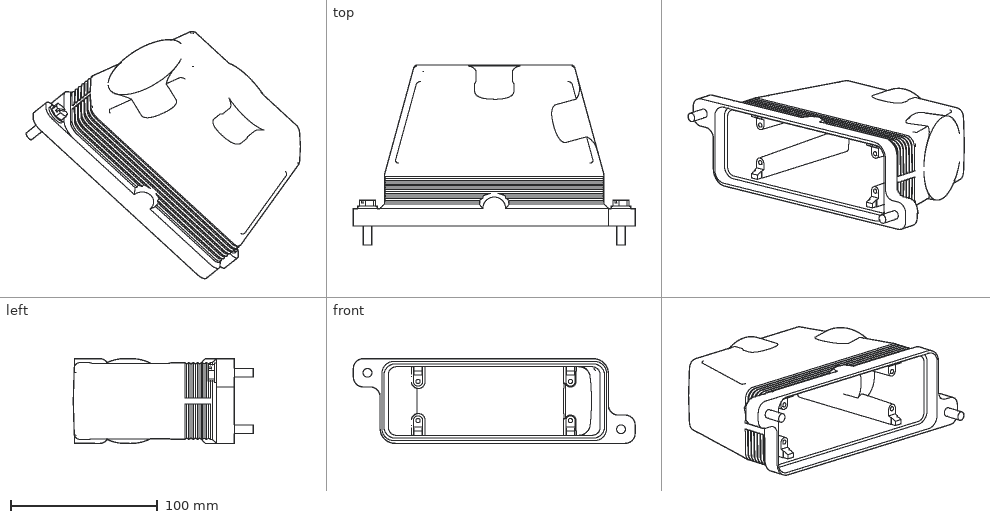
import math

import cadquery as cq

FLANGE_HALF_X = 78.0
FLANGE_HALF_Z = 29.0
FLANGE_THICK = 12.0
FLANGE_CORNER_R = 10.5
EAR_REACH = 96.25
EAR_SIZE = 19.5
EAR_CORNER_R = 7.0
EAR_ROOT_R = 6.5

BODY_HALF_X = 75.0
BODY_HALF_Z = 26.2
BODY_CORNER_R = 7.0
BODY_LENGTH = 110.0
SLOPE_START = 35.0
TOP_HALF_X = 54.5
END_EDGE_R = 4.0
END_CORNER_R = 3.0
SIDE_CROWN = 0.5
END_CROWN = 0.8
PANEL_DEPTH = 0.45
PANEL_START = 43.0
PANEL_END = 98.8
PANEL_STEP_RUN = 1.6

GROOVE_COUNT = 6
GROOVE_FIRST = 17.6
GROOVE_PITCH = 2.98
GROOVE_WIDTH = 2.6
GROOVE_DEPTH = 0.9
STRIP_HALF_Z = 2.2

LOBE_TOP_R = 7.8

ENTRY_R = 29.0
ENTRY_NOSE_LENGTH = 5.3
END_ENTRY_START = 86.5
SIDE_ENTRY_X = 45.6
SIDE_ENTRY_Y = 70.0
PLUG_R = 24.5
PLUG_FACE_X = 48.7
PLUG_FACE_DRAFT = 1.5

RIM_DEPTH = 8.4
RIM_STEPS = ((0.0, 76.6, 27.0), (2.8, 76.2, 26.5), (5.6, 75.8, 25.9), (RIM_DEPTH, 75.3, 25.4))
RIM_CORNER_R = 8.0
CAVITY_HALF_X = 72.4
CAVITY_HALF_Z = 23.4
CAVITY_MOUTH_R = 5.4
CAVITY_BEND_R = 6.4
CAVITY_DEEP_R = 7.2
CAVITY_BEND_Y = 66.0
CAVITY_BEND_X = 64.1
CAVITY_END_Y = 106.8
CAVITY_END_X = 52.7
CAVITY_END_CROWN = 1.8
CAVITY_END_R = 2.0

POST_X = 52.0
POST_Z = 13.35
POST_R = 3.2
POST_FACE_Y = 19.0
POST_DRAFT = 1.1
POST_HOLE_D = 2.9
POST_HOLE_DEPTH = 10.0
LUG_FACE_Y = 13.0
LUG_HALF_X = 2.7
LUG_NARROW_Y = 17.0
LUG_RAMP_START_Z = 17.7
LUG_RAMP_END_Z = 20.4
POST_EMBED_Z = 24.5

SCREW_X = EAR_REACH - EAR_SIZE / 2
SCREW_Z = FLANGE_HALF_Z - EAR_SIZE / 2
SCREW_D = 6.0
SCREW_TIP_Y = -13.0
WASHER_D = 13.5
WASHER_THICK = 1.6
HEX_FLATS = 10.0
HEX_HEIGHT = 4.2
HEX_TURN = 45.0
SLOT_WIDTH = 1.4
SLOT_DEPTH = 2.2

OVERLAP = 1.0
BIG = 200.0
SLOPE = math.atan2(BODY_HALF_X - TOP_HALF_X, BODY_LENGTH - SLOPE_START)


def plane_at(y):
    """Workplane parallel to XZ at height y; a negative extrusion runs toward +Y."""
    return cq.Workplane("XZ", origin=(0, y, 0))


def section(y, half_x, half_z, corner_r, crown=0.0):
    """Rounded rectangle wire at height y whose X sides peak by `crown` at Z = 0."""
    edge_x = half_x - crown
    points = [(edge_x, half_z), (-edge_x, half_z), (-edge_x, -half_z), (edge_x, -half_z)]
    if crown:
        points.insert(2, (-half_x, 0))
        points.append((half_x, 0))
    solid = plane_at(y).polyline(points).close().extrude(-OVERLAP)
    rounded = solid.edges("|Y and (>Z or <Z)").fillet(corner_r)
    return rounded.faces("<Y").wires().val()


def frustum(*sections):
    """Straight-sided solid through the given section wires."""
    return cq.Workplane(cq.Solid.makeLoft(list(sections), True))


def stack(levels, corner_r):
    """Frustums joining successive (y, half_x, half_z) rounded rectangles."""
    wires = [section(y, half_x, half_z, corner_r) for y, half_x, half_z in levels]
    solid = frustum(wires[0], wires[1])
    for lower, upper in zip(wires[1:], wires[2:]):
        solid = solid.union(frustum(lower, upper))
    return solid


def ear():
    """Flange ear at the -X, +Z corner, with its rounded root."""
    root_z = FLANGE_HALF_Z - EAR_SIZE
    plate = (
        plane_at(0)
        .moveTo(-FLANGE_HALF_X + FLANGE_CORNER_R, FLANGE_HALF_Z)
        .lineTo(-EAR_REACH, FLANGE_HALF_Z)
        .lineTo(-EAR_REACH, root_z)
        .lineTo(-FLANGE_HALF_X - EAR_ROOT_R, root_z)
        .radiusArc((-FLANGE_HALF_X, root_z - EAR_ROOT_R), EAR_ROOT_R)
        .lineTo(-FLANGE_HALF_X + FLANGE_CORNER_R, root_z - EAR_ROOT_R)
        .close()
        .extrude(-FLANGE_THICK)
    )
    return plate.edges("|Y and <X").fillet(EAR_CORNER_R)


def flange():
    """Plate with two ears and a bevel leading up to the body."""
    foot = section(0, FLANGE_HALF_X, FLANGE_HALF_Z, FLANGE_CORNER_R)
    top = section(FLANGE_THICK, FLANGE_HALF_X, FLANGE_HALF_Z, FLANGE_CORNER_R)
    bevel_height = FLANGE_HALF_X - BODY_HALF_X
    bevel_top = section(FLANGE_THICK + bevel_height, BODY_HALF_X, BODY_HALF_Z, BODY_CORNER_R)
    plate = frustum(foot, top).union(frustum(top, bevel_top))
    one_ear = ear()
    return plate.union(one_ear).union(one_ear.rotate((0, 0, 0), (0, 1, 0), 180))


def end_prism(half_z, end_y, crown, edge_r):
    """Long prism along X whose +Y end is a shallow roof with rounded edges."""
    prism = (
        cq.Workplane("YZ")
        .polyline([(-OVERLAP, -half_z), (end_y - crown, -half_z), (end_y, 0),
                   (end_y - crown, half_z), (-OVERLAP, half_z)])
        .close()
        .extrude(BIG / 2, both=True)
    )
    return prism.edges("|X and (>Z or <Z) and (not <Y)").fillet(edge_r)


def panel_cutter(side):
    """Shallow recess with sloped ends across the +Z (side=1) or -Z (side=-1) face."""
    floor_z = side * (BODY_HALF_Z - PANEL_DEPTH)
    return (
        cq.Workplane("YZ")
        .polyline([(PANEL_START, side * BODY_HALF_Z), (PANEL_START + PANEL_STEP_RUN, floor_z),
                   (PANEL_END - PANEL_STEP_RUN, floor_z), (PANEL_END, side * BODY_HALF_Z)])
        .close()
        .extrude(BIG / 2, both=True)
    )


def body_section(y, half_x):
    """Crowned outer section of the hood at height y."""
    return section(y, half_x, BODY_HALF_Z, BODY_CORNER_R, SIDE_CROWN)


def body():
    """Solid hood: upright foot, tapering top with a rounded end, recessed Z faces."""
    foot = body_section(FLANGE_THICK / 2, BODY_HALF_X)
    bend = body_section(SLOPE_START, BODY_HALF_X)
    top = body_section(BODY_LENGTH, TOP_HALF_X)
    shell = frustum(foot, bend).union(frustum(bend, top))
    shell = shell.intersect(end_prism(BODY_HALF_Z, BODY_LENGTH, END_CROWN, END_EDGE_R))
    end_corners = cq.selectors.BoxSelector(
        (-BIG, BODY_LENGTH - END_CROWN - END_EDGE_R, -BIG), (BIG, BODY_LENGTH, BIG))
    shell = shell.edges("not |X").edges(end_corners).fillet(END_CORNER_R)
    return shell.cut(panel_cutter(1)).cut(panel_cutter(-1))


def groove_cutter(y):
    """V groove round the body at height y, interrupted by a flat strip on each X side."""
    half_width = GROOVE_WIDTH / 2
    inner = section(
        y, BODY_HALF_X - GROOVE_DEPTH, BODY_HALF_Z - GROOVE_DEPTH, BODY_CORNER_R - GROOVE_DEPTH, SIDE_CROWN)
    lower = body_section(y - half_width, BODY_HALF_X)
    upper = body_section(y + half_width, BODY_HALF_X)
    slab = cq.Workplane("XY").box(BIG, GROOVE_WIDTH, BIG).translate((0, y, 0))
    strip = cq.Workplane("XY").box(BIG, BIG, 2 * STRIP_HALF_Z)
    return slab.cut(frustum(lower, inner)).cut(frustum(inner, upper)).cut(strip)


def lobe(side):
    """45 degree cone standing on the body, flush with the flange edge on the given Z side."""
    height = FLANGE_HALF_Z - BODY_HALF_Z + OVERLAP
    cone = cq.Solid.makeCone(
        LOBE_TOP_R + height, LOBE_TOP_R, height,
        cq.Vector(0, FLANGE_THICK, side * (FLANGE_HALF_Z - height)), cq.Vector(0, 0, side))
    return cq.Workplane(cone)


def entry_boss(length):
    """Solid of revolution along +Y: a rounded nose, then a cylinder tangent to it."""
    start_r = BODY_HALF_Z - PANEL_DEPTH
    nose_drop = ENTRY_R - start_r
    nose_r = (ENTRY_NOSE_LENGTH**2 + nose_drop**2) / (2 * nose_drop)
    return (
        cq.Workplane("XY")
        .moveTo(0, 0)
        .lineTo(start_r, 0)
        .radiusArc((ENTRY_R, ENTRY_NOSE_LENGTH), -nose_r)
        .lineTo(ENTRY_R, length)
        .lineTo(0, length)
        .close()
        .revolve(360, (0, 0), (0, 1))
    )


def along_side_entry(solid):
    """Turn a +Y solid so that it runs square to the +X slope from the side entry point."""
    turned = solid.rotate((0, 0, 0), (0, 0, 1), math.degrees(SLOPE) - 90)
    return turned.translate((SIDE_ENTRY_X, SIDE_ENTRY_Y, 0))


def outer_envelope():
    """The body's XY outline, unlimited in Z, used to trim the cable entries."""
    return (
        cq.Workplane("XY")
        .polyline([(-BODY_HALF_X, 0), (-BODY_HALF_X, SLOPE_START), (-TOP_HALF_X, BODY_LENGTH - END_CROWN),
                   (TOP_HALF_X, BODY_LENGTH - END_CROWN), (BODY_HALF_X, SLOPE_START), (BODY_HALF_X, 0)])
        .close()
        .extrude(BIG / 2, both=True)
    )


def cable_entries():
    """Swellings for the entry in the end wall and the entry in the +X slope."""
    end_entry = entry_boss(BODY_LENGTH - END_ENTRY_START).translate((0, END_ENTRY_START, 0))
    side_entry = along_side_entry(entry_boss(BODY_HALF_X).translate((0, -ENTRY_NOSE_LENGTH, 0)))
    return end_entry.union(side_entry).intersect(outer_envelope())


def cavity():
    """Hollow of the hood, narrowing in X toward a shallow roof-shaped end."""
    start_y = RIM_DEPTH - OVERLAP
    mouth = section(start_y, CAVITY_HALF_X, CAVITY_HALF_Z, CAVITY_MOUTH_R)
    bend = section(CAVITY_BEND_Y, CAVITY_BEND_X, CAVITY_HALF_Z, CAVITY_BEND_R)
    end = section(CAVITY_END_Y, CAVITY_END_X, CAVITY_HALF_Z, CAVITY_DEEP_R)
    space = frustum(mouth, bend).union(frustum(bend, end))
    return space.intersect(end_prism(CAVITY_HALF_Z, CAVITY_END_Y, CAVITY_END_CROWN, CAVITY_END_R))


def side_plug():
    """Round mass behind the side entry, ending on a nearly flat face inside the cavity."""
    plug = cq.Workplane("XZ").circle(PLUG_R).extrude(BODY_HALF_X, both=True)
    near_y = SIDE_ENTRY_Y - PLUG_R
    face_run = BODY_LENGTH - near_y
    keep = (
        cq.Workplane("XY")
        .polyline([(PLUG_FACE_X, near_y),
                   (PLUG_FACE_X - face_run * math.tan(math.radians(PLUG_FACE_DRAFT)), BODY_LENGTH),
                   (BIG, BODY_LENGTH), (BIG, 0), (PLUG_FACE_X, 0)])
        .close()
        .extrude(BIG / 2, both=True)
    )
    return along_side_entry(plug).intersect(keep)


def lug_wedge(x, front_y, half_x):
    """Wedge beside the +Z wall, rising from the post face along the lug ramp to front_y."""
    ramp_part = (POST_FACE_Y - front_y) / (POST_FACE_Y - LUG_FACE_Y)
    ramp_z = LUG_RAMP_START_Z + ramp_part * (LUG_RAMP_END_Z - LUG_RAMP_START_Z)
    return (
        cq.Workplane("YZ", origin=(x, 0, 0))
        .polyline([(POST_FACE_Y, LUG_RAMP_START_Z), (front_y, ramp_z),
                   (front_y, POST_EMBED_Z), (POST_FACE_Y, POST_EMBED_Z)])
        .close()
        .extrude(half_x, both=True)
    )


def post(x, side):
    """Drafted U-shaped post with a ramped lug beside the wall, on the given Z side."""
    length = CAVITY_END_Y + OVERLAP - POST_FACE_Y
    outline = (
        cq.Workplane("XZ", origin=(x, POST_FACE_Y, 0))
        .moveTo(-POST_R, POST_EMBED_Z)
        .lineTo(-POST_R, POST_Z)
        .radiusArc((POST_R, POST_Z), -POST_R)
        .lineTo(POST_R, POST_EMBED_Z)
        .close()
    )
    shaft = outline.extrude(-length, taper=-POST_DRAFT)
    lug = lug_wedge(x, LUG_FACE_Y, LUG_HALF_X).union(lug_wedge(x, LUG_NARROW_Y, POST_R))
    hole = (
        cq.Workplane("XZ", origin=(x, POST_FACE_Y, 0))
        .center(0, POST_Z)
        .circle(POST_HOLE_D / 2)
        .extrude(-POST_HOLE_DEPTH)
    )
    upper = shaft.union(lug).cut(hole)
    return upper if side > 0 else upper.mirror("XY")


def screw(x, z):
    """Slotted hexagon head screw with washer, passing down through an ear."""
    washer_top = FLANGE_THICK + WASHER_THICK
    head_top = washer_top + HEX_HEIGHT
    corner_d = HEX_FLATS / math.cos(math.pi / 6)
    shank = plane_at(SCREW_TIP_Y).circle(SCREW_D / 2).extrude(SCREW_TIP_Y - FLANGE_THICK)
    washer = plane_at(FLANGE_THICK).circle(WASHER_D / 2).extrude(-WASHER_THICK)
    head = plane_at(washer_top).polygon(6, corner_d).extrude(-HEX_HEIGHT)
    slot = plane_at(head_top).rect(SLOT_WIDTH, BIG).extrude(SLOT_DEPTH)
    turned = head.cut(slot).rotate((0, 0, 0), (0, 1, 0), -HEX_TURN)
    return shank.union(washer).union(turned).translate((x, 0, z))


def build():
    """Complete hood with its two screws."""
    part = flange().union(body())
    for index in range(GROOVE_COUNT):
        part = part.cut(groove_cutter(GROOVE_FIRST + index * GROOVE_PITCH))
    part = part.union(cable_entries()).union(lobe(1)).union(lobe(-1))

    hollow = cavity().cut(side_plug())
    for x in (-POST_X, POST_X):
        for side in (1, -1):
            hollow = hollow.cut(post(x, side))
    part = part.cut(hollow).cut(stack(RIM_STEPS, RIM_CORNER_R))

    for sign in (1, -1):
        part = part.union(screw(-sign * SCREW_X, sign * SCREW_Z))
    return part


result = build()